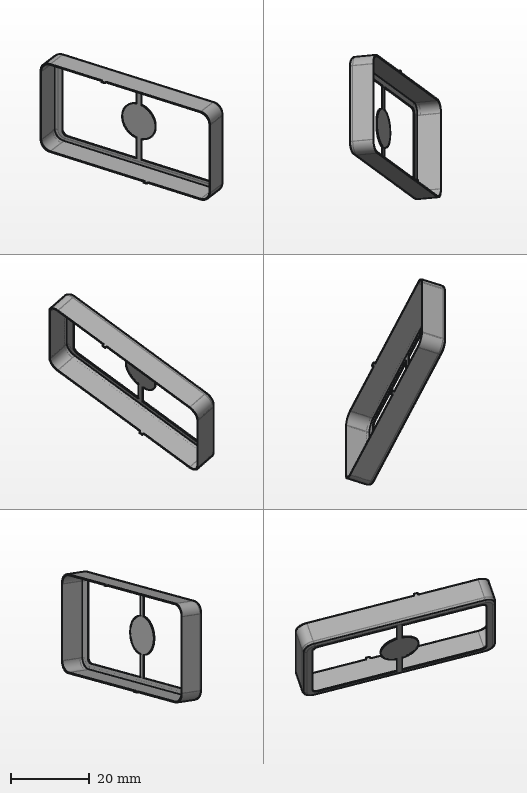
import cadquery as cq

length = 51.1
height = 25.7
shell_depth = 6.6
wall = 0.3
corner_radius = 2.9
back_fillet = 1

plate_thickness = 0.3
side_margin = 2.5
end_margin = 1.9
window_radius = 1.55
disc_diameter = 10.05
bar_width = 1.45

tab_width = 1.05
tab_length = 0.5
tab_offset = 6.35


def rounded_block(size_x, size_z, radius, front, back):
    """Block centred on the Y axis, with its four Y-direction edges rounded."""
    depth = back - front
    block = cq.Workplane("XY").box(size_x, depth, size_z).edges("|Y").fillet(radius)
    return block.translate((0, (front + back) / 2, 0))


def tab(x, side):
    """Tab flush with the top (side = 1) or bottom (side = -1) wall, rooted in that wall."""
    z = side * (height - wall) / 2
    return cq.Workplane("XY").box(tab_width, 2 * tab_length, wall).translate((x, 0, z))


outer = rounded_block(length, height, corner_radius, 0, shell_depth)
outer = outer.faces(">Y").edges().fillet(back_fillet)
plate_front = shell_depth - plate_thickness
cavity = rounded_block(length - 2 * wall, height - 2 * wall, corner_radius - wall, 0, plate_front)
shell = outer.cut(cavity)

window_height = height - 2 * end_margin
window = rounded_block(length - 2 * side_margin, window_height, window_radius, plate_front, shell_depth)
bar = cq.Workplane("XY").box(bar_width, plate_thickness, window_height)
bar = bar.translate((0, shell_depth - plate_thickness / 2, 0))
disc = cq.Workplane("XZ", origin=(0, shell_depth, 0)).circle(disc_diameter / 2).extrude(plate_thickness)
result = shell.cut(window.cut(bar).cut(disc))

for side in (1, -1):
    result = result.union(tab(-side * tab_offset, side))